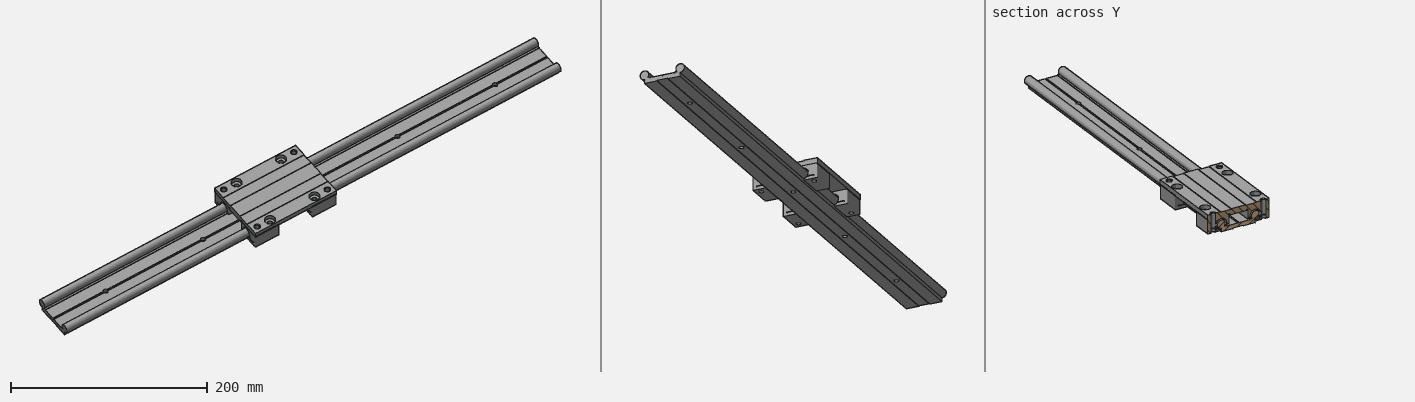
import cadquery as cq

rail_length = 610.0
shaft_diameter = 10.0
shaft_x = 20.0
shaft_z = 9.0
base_width = 40.0
base_height = 5.5
web_x = 14.0
web_height = 6.0
rail_hole_diameter = 5.0
rail_hole_pitch = 120.0
rail_hole_count = 5
mark_groove_width = 1.95
mark_groove_depth = 0.5
relief_width = 12.0
relief_depth = 0.5

carriage_y = -30.5
plate_width = 73.0
plate_length = 100.0
plate_top = 24.0
plate_thickness = 5.8
plate_bottom = plate_top - plate_thickness
rib_width = 21.0
rib_depth = 1.5
channel_inner_x = 8.5
channel_outer_x = 21.5
channel_depth = 0.5

block_bottom = 1.6
block_inner_x = 11.0
block_length = 29.0
block_end_inset = 0.1
block_edge_radius = 0.9
bearing_bore_diameter = 12.0
lip_x = 21.5
base_clearance = 0.5
slit_outer_x = 32.5
slit_bottom = 5.2
slit_height = 0.5

hole_spacing_x = 60.0
thread_spacing_y = 86.5
thread_core_diameter = 5.0
thread_mouth_diameter = 7.0
thread_mouth_angle = 90
screw_spacing_y = 55.0
screw_hole_diameter = 5.0
screw_hole_depth = 11.0
screw_head_diameter = 11.0
screw_head_depth = 5.0


def box_between(x_range, y_range, z_range):
    """Axis-aligned box between pairs of limits."""
    sizes = [high - low for low, high in (x_range, y_range, z_range)]
    corner = (x_range[0], y_range[0], z_range[0])
    return cq.Workplane("XY").box(*sizes, centered=False).translate(corner)


def rod_along_y(diameter, length, x, y_center, z):
    """Round bar parallel to Y, centred on y_center."""
    bar = cq.Workplane("XZ").circle(diameter / 2).extrude(length / 2, both=True)
    return bar.translate((x, y_center, z))


def make_rail():
    """Base with a shaft along each side, a centre mark, a bottom relief and a row of holes."""
    half_length = rail_length / 2
    y_range = (-half_length, half_length)
    rail = box_between((-base_width / 2, base_width / 2), y_range, (0, base_height))
    for side in (-1, 1):
        web_limits = sorted((side * web_x, side * shaft_x))
        rail = rail.union(box_between(web_limits, y_range, (0, web_height)))
        rail = rail.union(rod_along_y(shaft_diameter, rail_length, side * shaft_x, 0, shaft_z))

    groove = (
        cq.Workplane("XZ")
        .moveTo(-mark_groove_width / 2, base_height)
        .lineTo(mark_groove_width / 2, base_height)
        .lineTo(0, base_height - mark_groove_depth)
        .close()
        .extrude(half_length, both=True)
    )
    holes = (
        cq.Workplane("XY")
        .rarray(6, rail_hole_pitch, 1, rail_hole_count)
        .circle(rail_hole_diameter / 2)
        .extrude(base_height)
    )
    relief = box_between((-relief_width / 2, relief_width / 2), y_range, (0, relief_depth))
    return rail.cut(groove).cut(relief).cut(holes)


def make_plate():
    """Plate centred on Y = 0, with a rib below and two shallow channels on top."""
    y_range = (-plate_length / 2, plate_length / 2)
    plate = box_between((-plate_width / 2, plate_width / 2), y_range, (plate_bottom, plate_top))
    rib_z = (plate_bottom - rib_depth, plate_bottom)
    plate = plate.union(box_between((-rib_width / 2, rib_width / 2), y_range, rib_z))
    for side in (-1, 1):
        channel_limits = sorted((side * channel_inner_x, side * channel_outer_x))
        plate = plate.cut(box_between(channel_limits, y_range, (plate_top - channel_depth, plate_top)))
    return plate


def make_block():
    """Bearing block of the +X +Y corner, open downwards around the rail base."""
    block_outer_x = plate_width / 2
    y_end = plate_length / 2 - block_end_inset
    y_range = (y_end - block_length, y_end)
    y_center = sum(y_range) / 2
    blank = box_between((block_inner_x, block_outer_x), y_range, (block_bottom, plate_bottom))
    round_corners = blank.edges("|Z").fillet(block_edge_radius)
    round_outer_edges = blank.edges(">X and |Y").fillet(block_edge_radius)
    block = round_corners.intersect(round_outer_edges)

    opening_top = web_height + base_clearance
    opening = box_between((block_inner_x, lip_x), y_range, (block_bottom, opening_top))
    bore = rod_along_y(bearing_bore_diameter, block_length, shaft_x, y_center, shaft_z)
    slit_z = (slit_bottom, slit_bottom + slit_height)
    slit = box_between((shaft_x, slit_outer_x), y_range, slit_z)
    return block.cut(opening).cut(bore).cut(slit)


def make_carriage():
    """Plate with four bearing blocks, threaded holes at the corners and counterbored screw holes."""
    carriage = make_plate()
    block = make_block()
    for side_block in (block, block.mirror("YZ")):
        carriage = carriage.union(side_block).union(side_block.mirror("XZ"))

    top_plane = cq.Workplane("XY", origin=(0, 0, plate_top))
    carriage = (
        carriage.copyWorkplane(top_plane)
        .rarray(hole_spacing_x, thread_spacing_y, 2, 2)
        .cskHole(thread_core_diameter, thread_mouth_diameter, thread_mouth_angle)
    )
    carriage = (
        carriage.copyWorkplane(top_plane)
        .rarray(hole_spacing_x, screw_spacing_y, 2, 2)
        .cboreHole(screw_hole_diameter, screw_head_diameter, screw_head_depth, screw_hole_depth)
    )
    return carriage.translate((0, carriage_y, 0))


rail = make_rail()
carriage = make_carriage()
result = cq.Compound.makeCompound([rail.val(), carriage.val()])